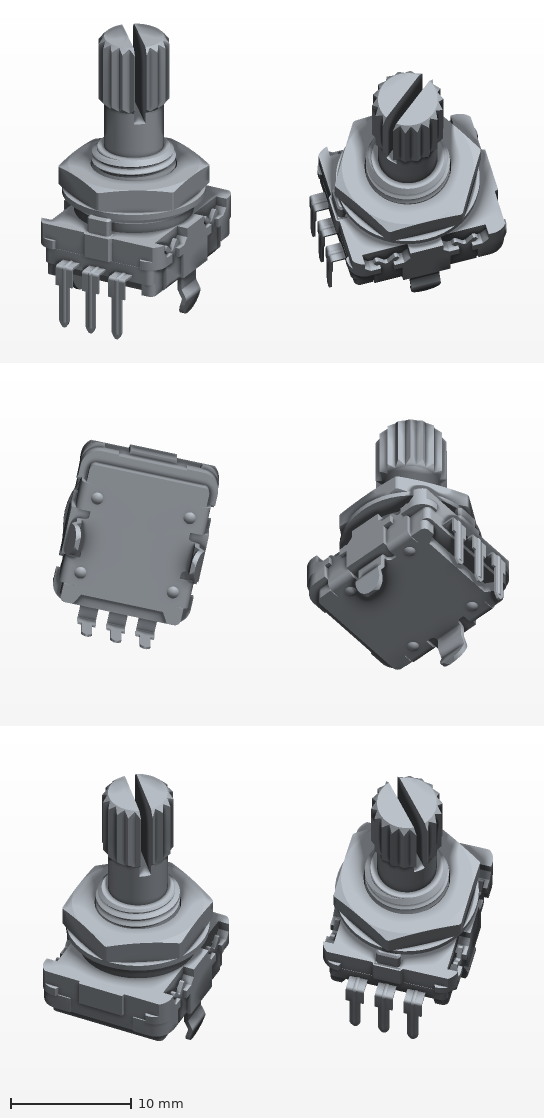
import cadquery as cq
import math


FLOOR_Z = 3.73
LEDGE_Z = 4.9
JOINT_Z = 6.35
POCKET_FLOOR_Z = 7.11
DECK_Z = 8.42
FLANGE_TOP_Z = 9.25
LUG_TOP_Z = 10.02
BUSHING_TOP_Z = 14.18
SLOT_FLOOR_Z = 17.2
SPLINE_BOTTOM_Z = 18.2
SHAFT_TOP_Z = 24.2

SHAFT_R = 2.5
SPLINE_R = 3.0
SPLINE_ROOT_R = 2.57
SPLINE_TEETH = 18
SPLINE_CHAMFER = SPLINE_R - SHAFT_R
SLOT_WIDTH = 1.0
SLOT_ANGLE = 130

HOUSING_HALF_X = 5.85
HOUSING_FRONT_Y = -6.53
HOUSING_BACK_Y = 7.25
HOUSING_CORNER_R = 1.5
WALL_SETBACK_FRONT = 0.27
WALL_SETBACK_BACK = 0.31
EAR_INNER_X = 4.02
FACE_SLANT = 0.2
EAR_SLANT = 0.15
FRONT_PAD_HALF_X = 1.14
BACK_PAD_HALF_X = 1.98
BACK_PAD_SLANT = 0.07
FLANGE_R = 10.0 / 2
THREAD_CORE_R = 3.1
THREAD_ROOT_R = 3.05
THREAD_CREST_R = 3.5
THREAD_PITCH = 0.75
THREAD_END_R = 3.02
THREAD_FREE_R = 3.58
THREAD_START_Z = 8.7
THREAD_TURNS = 8
THREAD_ROOT_WIDTH = 0.68
THREAD_CREST_WIDTH = 0.07
LUG_HALF_X = 1.05
LUG_FRONT_Y = -6.32
LUG_BACK_Y = -5.6
LUG_SIDE_BEVEL = 0.2
LUG_TOP_BEVEL = 0.17
LUG_FOOT_SPREAD = 0.1

CLEARANCE_R = 7.2 / 2
WASHER_R = 12.0 / 2
WASHER_THICKNESS = 0.5
NUT_ACROSS_FLATS = 10.99
NUT_CORNER_R = 6.3
NUT_HEIGHT = 2.0
NUT_CHAMFER_DROP = 0.22

BASE_HALF_X = 5.1
BASE_FRONT_Y = -6.3
BASE_BACK_Y = 7.05
FOOT_FRONT_Y = -6.0
FOOT_BACK_Y = 6.05
BASE_CORNER_R = 0.5
BASE_REAR_CORNER_R = 1.55
BASE_NOTCH_HALF_X = 2.9
BASE_NOTCH_DEPTH = 0.12
RECESS_MOUTH_HALF_X = 4.02
RECESS_INNER_HALF_X = 3.48
RECESS_DEPTH = 0.92
BLOCK_HALF_Y = 2.05

SHEET = 0.39
PLATE_HALF_Y = 4.45
FRAME_TAB_HALF_X = 1.14
STRAP_OUTER_X = BASE_HALF_X + SHEET
STRAP_NEAR_Y = BLOCK_HALF_Y
STRAP_FAR_Y = 4.4
STRAP_NEAR_BEVEL = 0.45
STRAP_FAR_BEVEL = 0.22
STRAP_BEND_R = 0.58
CLAW_Y = 3.4
CLAW_NECK_HALF = 0.58
POCKET_HALF = 1.95
POCKET_FLOOR_HALF = 1.45
POCKET_BEVEL_Z = 7.62
POCKET_INNER_X = 4.9
LEG_HALF_Y = 1.25
LEG_OUTER_X = 5.23
LEG_BEND_R = 0.58
LEG_ROOT_FILLET = 0.39
DIMPLE_X = 3.95
DIMPLE_Y = 3.27
DIMPLE_R = 0.5
DIMPLE_HEIGHT = 0.22

PIN_SPACING = 2.5
PIN_FRONT_Y = -7.6
PIN_TOP_Z = 5.52
PIN_SHEET = 0.2
PIN_BEND_R = 0.25
PIN_WIDE_HALF = 0.77
PIN_NARROW_HALF = 0.45
PIN_TAPER_Z = 0.58
PIN_TAPER_HALF = 0.35
PIN_TIP_HALF = 0.12
RIB_R = 0.5 / 2
RIB_HEIGHT = 0.077
RIB_END_Z = 0.48


def block(x0, x1, y0, y1, z0, z1):
    """Axis-aligned box between two opposite corners."""
    return cq.Workplane("XY").box(x1 - x0, y1 - y0, z1 - z0, centered=False).translate((x0, y0, z0))


def disc(radius, z0, z1):
    """Cylinder about the shaft axis."""
    return cq.Workplane("XY").workplane(offset=z0).circle(radius).extrude(z1 - z0)


def prism_z(points, z0, z1):
    """Closed XY polygon extruded from z0 to z1."""
    return cq.Workplane("XY").workplane(offset=z0).polyline(points).close().extrude(z1 - z0)


def side_profile(points, x0, x1):
    """Closed (y, z) polygon extruded from x0 to x1."""
    return cq.Workplane("YZ").workplane(offset=x0).polyline(points).close().extrude(x1 - x0)


def on_four_sides(solid):
    """The solid that lies at +X +Y, and its mirror images in the other three quadrants."""
    right = [solid, solid.mirror("XZ")]
    return right + [piece.mirror("YZ") for piece in right]


def make_shaft():
    tooth_step = 2 * math.pi / SPLINE_TEETH
    outline = []
    for tooth in range(SPLINE_TEETH):
        for radius, angle in ((SPLINE_R, tooth * tooth_step), (SPLINE_ROOT_R, (tooth + 0.5) * tooth_step)):
            outline.append((radius * math.cos(angle), radius * math.sin(angle)))
    spline = prism_z(outline, SPLINE_BOTTOM_Z, SHAFT_TOP_Z)
    envelope = disc(SPLINE_R, SPLINE_BOTTOM_Z, SHAFT_TOP_Z).faces("<Z or >Z").chamfer(SPLINE_CHAMFER)
    spindle = disc(SHAFT_R, JOINT_Z, SPLINE_BOTTOM_Z)
    slot = cq.Workplane("XY").workplane(offset=SLOT_FLOOR_Z)
    slot = slot.transformed(rotate=(0, 0, SLOT_ANGLE)).rect(4 * SPLINE_R, SLOT_WIDTH)
    return spindle.union(spline.intersect(envelope)).cut(slot.extrude(SHAFT_TOP_Z - SLOT_FLOOR_Z))


def make_threaded_neck():
    """Solid neck with a right-hand thread, bevelled at its top end."""
    height = THREAD_TURNS * THREAD_PITCH
    ridge_outline = [
        (THREAD_ROOT_R, -THREAD_ROOT_WIDTH / 2),
        (THREAD_CREST_R, -THREAD_CREST_WIDTH / 2),
        (THREAD_CREST_R, THREAD_CREST_WIDTH / 2),
        (THREAD_ROOT_R, THREAD_ROOT_WIDTH / 2),
    ]
    helix = cq.Workplane(cq.Wire.makeHelix(THREAD_PITCH, height, THREAD_ROOT_R))
    ridge = cq.Workplane("XZ").polyline(ridge_outline).close().sweep(helix, isFrenet=True)
    overrun_z = THREAD_START_Z + height + THREAD_PITCH
    neck = disc(THREAD_CORE_R, JOINT_Z, overrun_z).union(ridge.translate((0, 0, THREAD_START_Z)))
    bevel = THREAD_FREE_R - THREAD_END_R
    envelope = disc(THREAD_FREE_R, JOINT_Z, BUSHING_TOP_Z).faces(">Z").chamfer(bevel)
    return neck.intersect(envelope)


def make_housing_block():
    body = block(-HOUSING_HALF_X, HOUSING_HALF_X, HOUSING_FRONT_Y, HOUSING_BACK_Y, JOINT_Z, DECK_Z)
    body = body.edges("|Z").fillet(HOUSING_CORNER_R)
    for face_y, setback, pad, slant in (
        (HOUSING_FRONT_Y, WALL_SETBACK_FRONT, FRONT_PAD_HALF_X, FACE_SLANT),
        (HOUSING_BACK_Y, -WALL_SETBACK_BACK, BACK_PAD_HALF_X, BACK_PAD_SLANT),
    ):
        wall_y = face_y + setback
        for side in (-1, 1):
            between = [
                (side * pad, face_y),
                (side * (pad + slant), wall_y),
                (side * EAR_INNER_X, wall_y),
                (side * (EAR_INNER_X + EAR_SLANT), face_y),
            ]
            above_ear = [
                (side * (pad + slant), wall_y),
                (side * HOUSING_HALF_X, wall_y),
                (side * HOUSING_HALF_X, face_y),
                (side * pad, face_y),
            ]
            body = body.cut(prism_z(between, JOINT_Z, POCKET_FLOOR_Z))
            body = body.cut(prism_z(above_ear, POCKET_FLOOR_Z, DECK_Z))
    return body


def make_claw_pocket():
    """Pocket over a claw, with the slot for the claw's neck below it."""
    outline = [
        (CLAW_Y - POCKET_HALF, DECK_Z),
        (CLAW_Y - POCKET_HALF, POCKET_BEVEL_Z),
        (CLAW_Y - POCKET_FLOOR_HALF, POCKET_FLOOR_Z),
        (CLAW_Y - CLAW_NECK_HALF, POCKET_FLOOR_Z),
        (CLAW_Y - CLAW_NECK_HALF, JOINT_Z),
        (CLAW_Y + CLAW_NECK_HALF, JOINT_Z),
        (CLAW_Y + CLAW_NECK_HALF, POCKET_FLOOR_Z),
        (CLAW_Y + POCKET_FLOOR_HALF, POCKET_FLOOR_Z),
        (CLAW_Y + POCKET_HALF, POCKET_BEVEL_Z),
        (CLAW_Y + POCKET_HALF, DECK_Z),
    ]
    return side_profile(outline, POCKET_INNER_X, HOUSING_HALF_X)


def make_lug():
    """Anti-rotation lug with bevelled edges and a flared foot."""
    lug = block(-LUG_HALF_X, LUG_HALF_X, LUG_FRONT_Y, LUG_BACK_Y, DECK_Z, LUG_TOP_Z)
    lug = lug.edges("|Z").chamfer(LUG_SIDE_BEVEL).faces(">Z").chamfer(LUG_TOP_BEVEL)
    depth = LUG_BACK_Y - LUG_FRONT_Y + 2 * LUG_FOOT_SPREAD
    foot = cq.Workplane("XY", origin=(0, (LUG_FRONT_Y + LUG_BACK_Y) / 2, DECK_Z))
    foot = foot.rect(2 * (LUG_HALF_X + LUG_FOOT_SPREAD), depth).extrude(LUG_FOOT_SPREAD, taper=45)
    return lug.union(foot)


def make_housing():
    housing = make_housing_block()
    for pocket in on_four_sides(make_claw_pocket()):
        housing = housing.cut(pocket)
    housing = housing.union(disc(FLANGE_R, DECK_Z, FLANGE_TOP_Z))
    housing = housing.union(make_threaded_neck()).union(make_lug())
    return housing.cut(disc(SHAFT_R, JOINT_Z, BUSHING_TOP_Z))


def make_washer():
    top_z = LUG_TOP_Z + WASHER_THICKNESS
    return disc(WASHER_R, LUG_TOP_Z, top_z).cut(disc(CLEARANCE_R, LUG_TOP_Z, top_z))


def make_nut():
    bottom_z = LUG_TOP_Z + WASHER_THICKNESS
    top_z = bottom_z + NUT_HEIGHT
    flat = NUT_ACROSS_FLATS / 2
    corner = flat / math.cos(math.pi / 6)
    hexagon = [
        (corner * math.sin(k * math.pi / 3), corner * math.cos(k * math.pi / 3)) for k in range(6)
    ]
    turned = [
        (CLEARANCE_R, bottom_z),
        (flat, bottom_z),
        (NUT_CORNER_R, bottom_z + NUT_CHAMFER_DROP),
        (NUT_CORNER_R, top_z - NUT_CHAMFER_DROP),
        (flat, top_z),
        (CLEARANCE_R, top_z),
    ]
    ring = cq.Workplane("XZ").polyline(turned).close().revolve(360, (0, 0, 0), (0, 1, 0))
    return prism_z(hexagon, bottom_z, top_z).intersect(ring)


def make_strap():
    """Side strap with its claw, bent up from the plate, on the +X +Y side."""
    outline = [
        (STRAP_NEAR_Y, FLOOR_Z),
        (STRAP_NEAR_Y, JOINT_Z - STRAP_NEAR_BEVEL),
        (STRAP_NEAR_Y + STRAP_NEAR_BEVEL, JOINT_Z),
        (CLAW_Y - CLAW_NECK_HALF, JOINT_Z),
        (CLAW_Y - CLAW_NECK_HALF, POCKET_FLOOR_Z),
        (CLAW_Y - 0.87, POCKET_FLOOR_Z),
        (CLAW_Y - 1.14, 7.5),
        (CLAW_Y - 0.92, 7.8),
        (CLAW_Y - 0.73, 7.8),
        (CLAW_Y - 0.12, 7.1),
        (CLAW_Y + 0.12, 7.1),
        (CLAW_Y + 0.73, 7.8),
        (CLAW_Y + 0.92, 7.8),
        (CLAW_Y + 1.14, 7.5),
        (CLAW_Y + 0.87, POCKET_FLOOR_Z),
        (CLAW_Y + CLAW_NECK_HALF, POCKET_FLOOR_Z),
        (CLAW_Y + CLAW_NECK_HALF, JOINT_Z),
        (STRAP_FAR_Y - STRAP_FAR_BEVEL, JOINT_Z),
        (STRAP_FAR_Y, JOINT_Z - STRAP_FAR_BEVEL),
        (STRAP_FAR_Y, FLOOR_Z),
    ]
    strap = side_profile(outline, BASE_HALF_X, STRAP_OUTER_X)
    foot = block(BASE_HALF_X - SHEET, STRAP_OUTER_X, STRAP_NEAR_Y, STRAP_FAR_Y, FLOOR_Z, FLOOR_Z + SHEET)
    return strap.union(foot).edges("|Y and >X and <Z").fillet(STRAP_BEND_R)


def make_leg():
    """Springy snap-in leg on the +X side, with a round tip."""
    plate_top = FLOOR_Z + SHEET
    bend_z = plate_top - LEG_BEND_R
    inner_x = LEG_OUTER_X - SHEET
    bend_x = LEG_OUTER_X - LEG_BEND_R
    diagonal = math.sqrt(0.5)
    inner_r = LEG_BEND_R - SHEET
    profile = (
        cq.Workplane("XZ", origin=(0, LEG_HALF_Y, 0))
        .moveTo(bend_x, plate_top)
        .threePointArc(
            (bend_x + LEG_BEND_R * diagonal, bend_z + LEG_BEND_R * diagonal), (LEG_OUTER_X, bend_z)
        )
        .lineTo(LEG_OUTER_X, 2.61)
        .lineTo(5.6, 1.94)
        .threePointArc((5.65, 1.75), (5.61, 1.55))
        .lineTo(5.13, 0)
        .lineTo(4.75, 0.15)
        .lineTo(5.25, 1.75)
        .lineTo(inner_x, 2.52)
        .lineTo(inner_x, bend_z)
        .threePointArc((bend_x + inner_r * diagonal, bend_z + inner_r * diagonal), (bend_x, FLOOR_Z))
        .close()
        .extrude(2 * LEG_HALF_Y)
    )
    round_tip = cq.Workplane("YZ").center(0, LEG_HALF_Y).circle(LEG_HALF_Y).extrude(2 * LEG_OUTER_X)
    upper = block(0, 2 * LEG_OUTER_X, -LEG_HALF_Y, LEG_HALF_Y, LEG_HALF_Y, plate_top)
    return profile.intersect(round_tip.union(upper))


def make_dimple():
    """Shallow round boss under the plate."""
    sphere_r = (DIMPLE_R**2 + DIMPLE_HEIGHT**2) / (2 * DIMPLE_HEIGHT)
    ball = cq.Workplane("XY").sphere(sphere_r).translate(
        (DIMPLE_X, DIMPLE_Y, FLOOR_Z - DIMPLE_HEIGHT + sphere_r)
    )
    cap = 2 * DIMPLE_R
    below = block(DIMPLE_X - cap, DIMPLE_X + cap, DIMPLE_Y - cap, DIMPLE_Y + cap, 0, FLOOR_Z + SHEET / 2)
    return ball.intersect(below)


def make_frame():
    plate_top = FLOOR_Z + SHEET
    plate_x = BASE_HALF_X - SHEET
    leg_root_x = LEG_OUTER_X - LEG_BEND_R
    relief_x = leg_root_x - LEG_ROOT_FILLET
    frame = block(-relief_x, relief_x, -PLATE_HALF_Y, PLATE_HALF_Y, FLOOR_Z, plate_top)
    frame = frame.union(block(-BASE_HALF_X, BASE_HALF_X, -LEG_HALF_Y, LEG_HALF_Y, FLOOR_Z, plate_top))
    root_zone = cq.selectors.BoxSelector(
        (-leg_root_x, -BLOCK_HALF_Y, FLOOR_Z), (leg_root_x, BLOCK_HALF_Y, plate_top)
    )
    frame = frame.edges("|Z").edges(root_zone).fillet(LEG_ROOT_FILLET)
    frame = frame.intersect(
        block(-leg_root_x, leg_root_x, -PLATE_HALF_Y, PLATE_HALF_Y, FLOOR_Z, plate_top)
    )
    tab_y = FOOT_FRONT_Y + RECESS_DEPTH
    frame = frame.union(
        block(-FRAME_TAB_HALF_X, FRAME_TAB_HALF_X, tab_y, -PLATE_HALF_Y, FLOOR_Z, plate_top)
    )
    strap_root = block(0, plate_x, STRAP_NEAR_Y, STRAP_FAR_Y, FLOOR_Z, plate_top)
    for piece in on_four_sides(make_strap().union(strap_root)) + on_four_sides(make_dimple()):
        frame = frame.union(piece)
    leg = make_leg()
    return frame.union(leg).union(leg.mirror("YZ"))


def make_base(frame):
    base = block(-BASE_HALF_X, BASE_HALF_X, BASE_FRONT_Y, PLATE_HALF_Y, LEDGE_Z, JOINT_Z)
    base = base.edges("|Z and <Y").fillet(BASE_CORNER_R)
    rear = block(-HOUSING_HALF_X, HOUSING_HALF_X, PLATE_HALF_Y, BASE_BACK_Y, LEDGE_Z, JOINT_Z)
    rear = rear.edges("|Z and >Y").fillet(BASE_REAR_CORNER_R)
    base = base.union(rear)
    notch_y = BASE_BACK_Y - BASE_NOTCH_DEPTH
    base = base.cut(block(-BASE_NOTCH_HALF_X, BASE_NOTCH_HALF_X, notch_y, BASE_BACK_Y, LEDGE_Z, JOINT_Z))
    foot = block(-BASE_HALF_X, BASE_HALF_X, FOOT_FRONT_Y, FOOT_BACK_Y, FLOOR_Z, LEDGE_Z)
    foot = foot.edges("|Z").fillet(BASE_CORNER_R)
    recess_y = FOOT_FRONT_Y + RECESS_DEPTH
    recess = [
        (-RECESS_MOUTH_HALF_X, FOOT_FRONT_Y),
        (-RECESS_INNER_HALF_X, recess_y),
        (RECESS_INNER_HALF_X, recess_y),
        (RECESS_MOUTH_HALF_X, FOOT_FRONT_Y),
    ]
    foot = foot.cut(prism_z(recess, FLOOR_Z, LEDGE_Z))
    underside = block(-BASE_HALF_X, BASE_HALF_X, -PLATE_HALF_Y, PLATE_HALF_Y, FLOOR_Z, FLOOR_Z + SHEET)
    side_block = block(
        -HOUSING_HALF_X, HOUSING_HALF_X, -BLOCK_HALF_Y, BLOCK_HALF_Y, FLOOR_Z + SHEET, JOINT_Z
    )
    return base.union(foot.cut(underside)).union(side_block).cut(frame)


def bent_strip(face_y, top_z, thickness, bend_r, half_width):
    """L-shaped strip that leaves the base, turns down round a bend and ends at z = 0."""
    inner_y = face_y + thickness
    inner_z = top_z - thickness
    inner_r = bend_r - thickness
    setback = 1 - math.sqrt(0.5)
    return (
        cq.Workplane("YZ")
        .moveTo(BASE_FRONT_Y, top_z)
        .lineTo(face_y + bend_r, top_z)
        .threePointArc((face_y + bend_r * setback, top_z - bend_r * setback), (face_y, top_z - bend_r))
        .lineTo(face_y, 0)
        .lineTo(inner_y, 0)
        .lineTo(inner_y, inner_z - inner_r)
        .threePointArc(
            (inner_y + inner_r * setback, inner_z - inner_r * setback), (inner_y + inner_r, inner_z)
        )
        .lineTo(BASE_FRONT_Y, inner_z)
        .close()
        .extrude(half_width, both=True)
    )


def make_rib():
    """Low round crown along the outside of the strip, mitred at the bend."""
    crown_y = PIN_FRONT_Y - RIB_HEIGHT
    crown_z = PIN_TOP_Z + RIB_HEIGHT
    crown = bent_strip(crown_y, crown_z, PIN_SHEET, PIN_BEND_R + RIB_HEIGHT, RIB_R)
    upright = cq.Workplane("XY", origin=(0, crown_y + RIB_R, RIB_END_Z)).circle(RIB_R).extrude(crown_z)
    upright = upright.union(block(-RIB_R, RIB_R, crown_y + RIB_R, BASE_FRONT_Y, RIB_END_Z, crown_z))
    level = cq.Workplane("XZ", origin=(0, BASE_FRONT_Y, crown_z - RIB_R)).circle(RIB_R)
    level = level.extrude(BASE_FRONT_Y - crown_y)
    level = level.union(block(-RIB_R, RIB_R, crown_y, BASE_FRONT_Y, RIB_END_Z, crown_z - RIB_R))
    return crown.intersect(upright).intersect(level)


def make_pin():
    right_edge = [
        (PIN_TIP_HALF, 0),
        (PIN_TAPER_HALF, PIN_TAPER_Z / 2),
        (PIN_NARROW_HALF, PIN_TAPER_Z),
        (PIN_NARROW_HALF, FLOOR_Z),
        (PIN_WIDE_HALF, FLOOR_Z),
        (PIN_WIDE_HALF, PIN_TOP_Z),
    ]
    left_edge = [(-x, z) for x, z in reversed(right_edge)]
    blank = cq.Workplane("XZ", origin=(0, BASE_FRONT_Y, 0)).polyline(right_edge + left_edge).close()
    strip = bent_strip(PIN_FRONT_Y, PIN_TOP_Z, PIN_SHEET, PIN_BEND_R, PIN_WIDE_HALF)
    strip = strip.intersect(blank.extrude(BASE_FRONT_Y - PIN_FRONT_Y))
    return strip.union(make_rib())


frame = make_frame()
shaft = make_shaft()
housing = make_housing()
base = make_base(frame)
washer = make_washer()
nut = make_nut()
pins = [make_pin().val().translate(cq.Vector(k * PIN_SPACING, 0, 0)) for k in (-1, 0, 1)]
result = cq.Compound.makeCompound(
    [*shaft.vals(), *housing.vals(), *base.vals(), *frame.vals(), *washer.vals(), *nut.vals(), *pins]
)